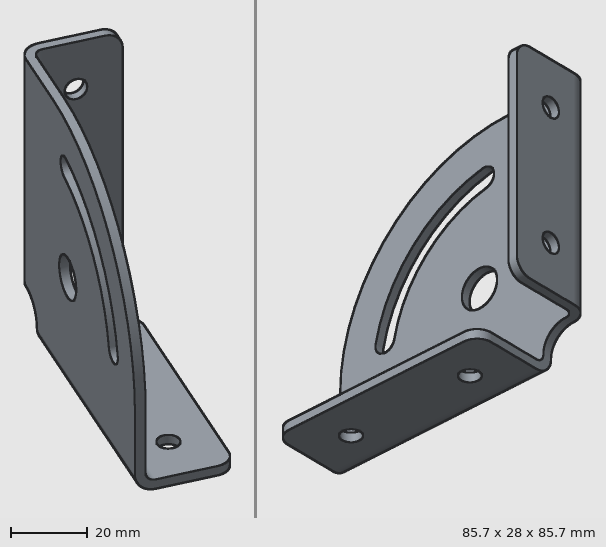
import cadquery as cq
import math

size = 85.7
depth = 28.0
thickness = 3.0

bend_radius = 5.7
flange_start = 13.7
relief_radius = flange_start - bend_radius
flange_corner_radius = 5.0

arc_radius = 60.0
arc_center = size - arc_radius
pivot_diameter = 12.4
pivot_position = 36.3
slot_radius = 45.0
slot_width = 6.7
slot_end_angle = 11.3

hole_diameter = 6.25
hole_spacing = 42.1
hole_depth_position = 15.0


def arc_point(radius, angle):
    """Point in XZ on a circle about the rounded corner's center."""
    return (
        arc_center + radius * math.cos(math.radians(angle)),
        arc_center + radius * math.sin(math.radians(angle)),
    )


def extrude_back(sketch, length):
    """Extrude an XZ sketch from the front face toward +Y."""
    return sketch.extrude(-length)


def make_bent_sheet():
    """L section: front plate, bend and side flange, extruded up along Z."""
    bend = bend_radius * (1 - math.sqrt(0.5))
    inner_bend = thickness + (bend_radius - thickness) * (1 - math.sqrt(0.5))
    return (
        cq.Workplane("XY")
        .moveTo(size, 0)
        .lineTo(bend_radius, 0)
        .threePointArc((bend, bend), (0, bend_radius))
        .lineTo(0, depth)
        .lineTo(thickness, depth)
        .lineTo(thickness, bend_radius)
        .threePointArc((inner_bend, inner_bend), (bend_radius, thickness))
        .lineTo(size, thickness)
        .close()
        .extrude(size)
    )


def make_side_flange():
    """Left bend and flange, with rounded rear corners and two holes."""
    flange_length = size - flange_start
    middle = flange_start + flange_length / 2
    strip = cq.Workplane("XY").box(bend_radius, depth, flange_length, centered=False)
    flange = make_bent_sheet().intersect(strip.translate((0, 0, flange_start)))
    flange = flange.edges("|X and >Y").fillet(flange_corner_radius)
    holes = (
        cq.Workplane("YZ")
        .pushPoints([(hole_depth_position, middle + side * hole_spacing / 2) for side in (-1, 1)])
        .circle(hole_diameter / 2)
        .extrude(thickness)
    )
    return flange.cut(holes)


def make_bottom_flange(side_flange):
    """Mirror the side flange across the plane X = Z."""
    return side_flange.mirror("XY").rotate((0, 0, 0), (0, 1, 0), -90)


def make_plate():
    """Flat front plate between the bend lines, with its cutouts."""
    plate = extrude_back(
        cq.Workplane("XZ")
        .moveTo(bend_radius, flange_start)
        .lineTo(bend_radius, size)
        .lineTo(arc_center, size)
        .threePointArc(arc_point(arc_radius, 45), (size, arc_center))
        .lineTo(size, bend_radius)
        .lineTo(flange_start, bend_radius)
        .threePointArc(
            (bend_radius + relief_radius * math.sqrt(0.5),) * 2,
            (bend_radius, flange_start),
        )
        .close(),
        thickness,
    )
    pivot = extrude_back(
        cq.Workplane("XZ").center(pivot_position, pivot_position).circle(pivot_diameter / 2),
        thickness,
    )
    return plate.cut(pivot).cut(make_slot())


def make_slot():
    """Curved slot with round ends."""
    inner = slot_radius - slot_width / 2
    outer = slot_radius + slot_width / 2
    first = slot_end_angle
    last = 90 - slot_end_angle
    tip = math.degrees(slot_width / 2 / slot_radius)
    return extrude_back(
        cq.Workplane("XZ")
        .moveTo(*arc_point(inner, first))
        .threePointArc(arc_point(inner, 45), arc_point(inner, last))
        .threePointArc(arc_point(slot_radius, last + tip), arc_point(outer, last))
        .threePointArc(arc_point(outer, 45), arc_point(outer, first))
        .threePointArc(arc_point(slot_radius, first - tip), arc_point(inner, first))
        .close(),
        thickness,
    )


side_flange = make_side_flange()
result = make_plate().union(side_flange).union(make_bottom_flange(side_flange))